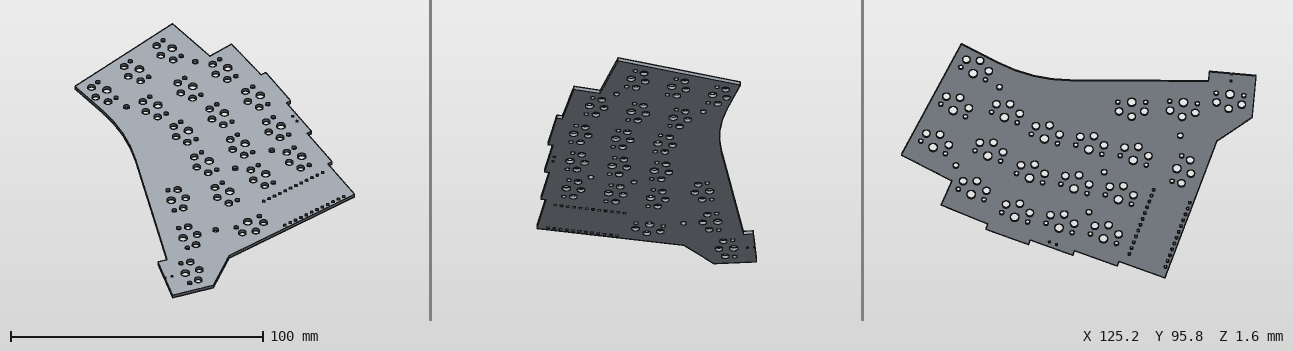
import cadquery as cq
import math

thickness = 1.6
plate_length = 125.2
plate_width = 95.8

column_pitch = 18.0
row_pitch = 17.0
column_step = 2.0
ring_splay = 2.5
pinky_splay = 7.5
row_count = 3
upright_columns = 3

middle_top_key = (51.0, 87.3)
ring_top_key = (31.5, 84.5)
pinky_top_key = (10.8, 71.7)

thumb_fan_angle = 20.0
thumb_angle = 15.0
turned_keys = [
    ((78.2, 27.2), 180 - thumb_fan_angle),
    ((97.5, 20.2), 180 - thumb_angle),
    ((113.7, 10.6), 180 - thumb_angle),
    ((104.4, 46.3), 90),
]

stem_diameter = 3.4
peg_diameter = 1.8
peg_positions = [(-5.5, 0), (5.5, 0)]
pin_diameter = 3.0
pin_positions = [(0, -5.9), (-5.0, -3.8), (5.0, -3.8)]

header_diameter = 1.09
header_length = 27.9
header_pin_count = 12
header_pitch = header_length / (header_pin_count - 1)
header_row_count = 2
header_row_spacing = 15.3
header_first_pin = (98.8, 57.6)

mount_diameter = 2.3
mount_positions = [(21.8, 75.5), (77.9, 75.1), (77.9, 57.7), (26.9, 39.5), (101.0, 33.3)]

connector_diameter = 0.9
connector_positions = [(67.4, 91.9), (70.4, 91.9)]
reset_diameter = 0.8
reset_positions = [(112.2, 5.4), (111.4, 2.6)]

middle_left = middle_top_key[0] - column_pitch / 2
right_edge = 115.4
shoulder_y = 30.3
tip_y = 16.4
ring_corner = (21.9, 92.6)
pinky_corner_y = 79.0
pinky_edge_length = row_count * row_pitch
notch_x = 22.5
thumb_tab_width = 18.7
thumb_tab_x = 103.8
palm_radius = 62.6


def tangent(degrees):
    return math.tan(math.radians(degrees))


def rotated(point, degrees):
    angle = math.radians(degrees)
    x, y = point
    return (
        x * math.cos(angle) - y * math.sin(angle),
        x * math.sin(angle) + y * math.cos(angle),
    )


def shifted(origin, offset, degrees=0):
    x, y = rotated(offset, degrees)
    return (origin[0] + x, origin[1] + y)


def make_plate():
    pinky_top = (0, pinky_corner_y)
    pinky_bottom = shifted(pinky_top, (0, -pinky_edge_length), pinky_splay)
    pinky_slope = tangent(pinky_splay)
    notch = (notch_x, pinky_corner_y + notch_x * pinky_slope)

    thumb_low = (plate_length - tip_y * tangent(thumb_angle), 0)
    thumb_outer = shifted(thumb_low, (-thumb_tab_width, 0), -thumb_angle)
    tab_height = (thumb_tab_x - thumb_outer[0]) / tangent(thumb_angle)
    thumb_inner = (thumb_tab_x, thumb_outer[1] + tab_height)

    palm_slope = -tangent(thumb_fan_angle)
    pinky_line_height = pinky_bottom[1] - pinky_slope * pinky_bottom[0]
    palm_line_height = thumb_inner[1] - palm_slope * thumb_inner[0]
    palm_x = (palm_line_height - pinky_line_height) / (pinky_slope - palm_slope)
    palm_corner = (palm_x, pinky_line_height + pinky_slope * palm_x)

    top_steps = []
    for column in range(upright_columns + 1):
        y = plate_width - column * column_step
        left = middle_left + column * column_pitch
        right = right_edge if column == upright_columns else left + column_pitch
        top_steps += [(left, y), (right, y)]

    ring_end_y = ring_corner[1] + (middle_left - ring_corner[0]) * tangent(ring_splay)
    outline = [
        pinky_bottom, pinky_top, notch, ring_corner, (middle_left, ring_end_y),
        *top_steps,
        (right_edge, shoulder_y), (plate_length, tip_y),
        thumb_low, thumb_outer, thumb_inner, palm_corner,
    ]
    plate = cq.Workplane("XY").polyline(outline).close().extrude(thickness)
    palm_edge = cq.selectors.NearestToPointSelector((*palm_corner, thickness / 2))
    return plate.edges("|Z").edges(palm_edge).fillet(palm_radius)


def key_column(top_key, splay):
    return [(shifted(top_key, (0, -row * row_pitch), splay), splay) for row in range(row_count)]


def all_keys():
    keys = key_column(pinky_top_key, pinky_splay) + key_column(ring_top_key, ring_splay)
    for column in range(upright_columns):
        top_key = shifted(middle_top_key, (column * column_pitch, -column * column_step))
        keys += key_column(top_key, 0)
    return keys + turned_keys


def header_positions():
    return [
        shifted(header_first_pin, (row * header_row_spacing, pin * header_pitch))
        for row in range(header_row_count)
        for pin in range(header_pin_count)
    ]


def drill(plate, positions, diameter):
    tools = cq.Workplane("XY").pushPoints(positions).circle(diameter / 2).extrude(thickness)
    return plate.cut(tools)


keys = all_keys()
stems = [center for center, angle in keys]
pegs = [shifted(center, peg, angle) for center, angle in keys for peg in peg_positions]
pins = [shifted(center, pin, angle) for center, angle in keys for pin in pin_positions]

result = make_plate()
result = drill(result, stems, stem_diameter)
result = drill(result, pegs, peg_diameter)
result = drill(result, pins, pin_diameter)
result = drill(result, header_positions(), header_diameter)
result = drill(result, mount_positions, mount_diameter)
result = drill(result, connector_positions, connector_diameter)
result = drill(result, reset_positions, reset_diameter)